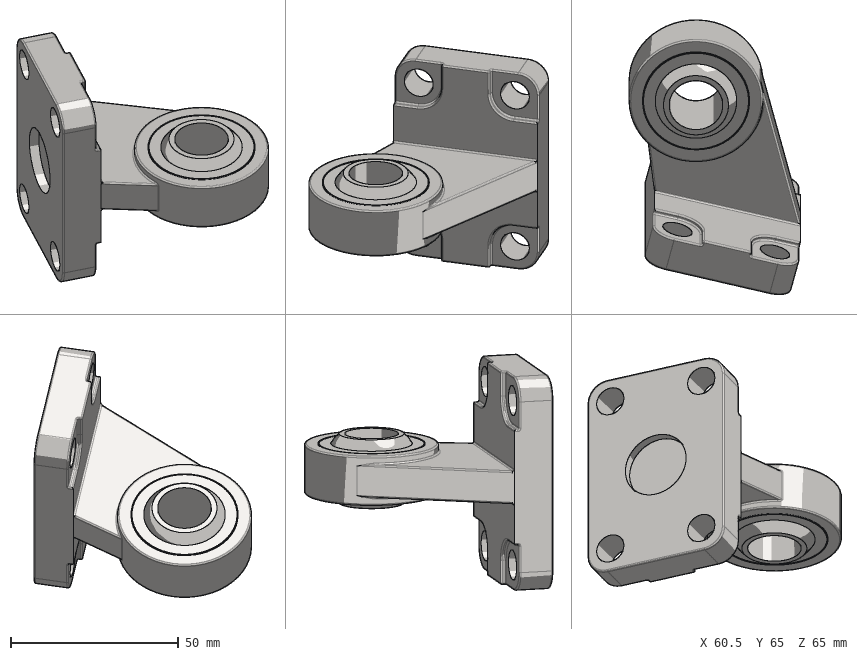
import cadquery as cq
import math

PLATE_WIDTH = 45.0
PLATE_HEIGHT = 65.0
PLATE_DEPTH = 12.0
PLATE_CORNER_RADIUS = 6.5
BOLT_HOLE_DIAMETER = 9.0
BOLT_INSET = 7.5
RECESS_DIAMETER = 20.0
RECESS_DEPTH = 3.0

POCKET_RADIUS = BOLT_INSET
POCKET_SPAN = BOLT_INSET + POCKET_RADIUS
POCKET_DEPTH = 1.5
POCKET_FLOOR_Y = PLATE_DEPTH - POCKET_DEPTH

RING_X = 40.5
RING_Y = 45.0
RING_RADIUS = 20.0
RING_WIDTH = 15.0
WEB_THICKNESS = 10.0

RACE_RADIUS = 16.0
RACE_CHAMFER = 0.3
BALL_RADIUS = 14.3
BALL_WIDTH = 21.0
BORE_RADIUS = 8.0

EDGE_RADIUS = 0.5

TOLERANCE = 0.005


def ring_axis_cylinder(radius, width):
    """Cylinder on the ring axis, centred on Z = 0."""
    return cq.Workplane("XY", origin=(RING_X, RING_Y, -width / 2)).circle(radius).extrude(width)


def ball_sphere():
    return cq.Workplane("XY").sphere(BALL_RADIUS).translate((RING_X, RING_Y, 0))


def tangent_point(x, y, radius, side):
    """Where a line from (x, y) touches a circle on the ring axis: side 1 passes it on -X, side -1 on +X."""
    dx = x - RING_X
    dy = y - RING_Y
    angle = math.atan2(dy, dx) - side * math.acos(radius / math.hypot(dx, dy))
    return (RING_X + radius * math.cos(angle), RING_Y + radius * math.sin(angle))


def corner_pocket(side_x, side_z):
    """Square cutter at one plate corner, rounded only on the corner that faces the plate's middle."""
    centre_x = PLATE_WIDTH / 2 + side_x * (PLATE_WIDTH - POCKET_SPAN) / 2
    centre_z = side_z * (PLATE_HEIGHT - POCKET_SPAN) / 2
    inner_face = "<X" if side_x > 0 else ">X"
    inner_edge = "<Z" if side_z > 0 else ">Z"
    return (
        cq.Workplane("XY")
        .box(POCKET_SPAN, POCKET_DEPTH, POCKET_SPAN)
        .faces(inner_face)
        .edges(inner_edge)
        .fillet(POCKET_RADIUS)
        .translate((centre_x, PLATE_DEPTH - POCKET_DEPTH / 2, centre_z))
    )


def is_rounded_plate_edge(edge):
    """Front rim and all pocket edges, but not the sharp back edges along the plate's long sides."""
    box = edge.BoundingBox()
    on_front = box.ymax < TOLERANCE
    at_pocket = box.ymax > POCKET_FLOOR_Y - TOLERANCE and box.ymin > TOLERANCE
    crosses_middle = box.zmin < 0 < box.zmax
    return on_front or (at_pocket and not crosses_middle)


def make_plate():
    plate = (
        cq.Workplane("XZ")
        .center(PLATE_WIDTH / 2, 0)
        .rect(PLATE_WIDTH, PLATE_HEIGHT)
        .extrude(-PLATE_DEPTH)
        .edges("|Y")
        .fillet(PLATE_CORNER_RADIUS)
    )
    for side_x in (-1, 1):
        for side_z in (-1, 1):
            plate = plate.cut(corner_pocket(side_x, side_z))
    rounded = [edge for edge in plate.edges().vals() if is_rounded_plate_edge(edge)]
    plate = plate.newObject(rounded).fillet(EDGE_RADIUS)
    holes = (
        cq.Workplane("XZ")
        .center(PLATE_WIDTH / 2, 0)
        .rect(PLATE_WIDTH - 2 * BOLT_INSET, PLATE_HEIGHT - 2 * BOLT_INSET, forConstruction=True)
        .vertices()
        .circle(BOLT_HOLE_DIAMETER / 2)
        .extrude(-PLATE_DEPTH)
    )
    recess = cq.Workplane("XZ").center(PLATE_WIDTH / 2, 0).circle(RECESS_DIAMETER / 2).extrude(-RECESS_DEPTH)
    return plate.cut(holes).cut(recess)


def web_blank(thickness):
    """Web with square edges: tangent to the ring on -X, aimed at a tangent of the bearing bore on +X."""
    left = tangent_point(0, PLATE_DEPTH, RING_RADIUS, 1)
    right = tangent_point(PLATE_WIDTH, PLATE_DEPTH, RACE_RADIUS, -1)
    outline = [(0, PLATE_DEPTH), (PLATE_WIDTH, PLATE_DEPTH), right, (RING_X, RING_Y), left]
    return cq.Workplane("XY").polyline(outline).close().extrude(thickness / 2, both=True)


def make_web():
    """Web with rounded side edges, left sharp where it stands on the plate."""
    return web_blank(WEB_THICKNESS).faces("|Z").edges("not <Y").fillet(EDGE_RADIUS)


def is_ring_joint(edge):
    """Edges where the web meets the ring, apart from the flush tangent line on the -X side."""
    box = edge.BoundingBox()
    within_web = max(box.zmax, -box.zmin) < WEB_THICKNESS / 2 + TOLERANCE
    on_ring = all(
        abs(math.hypot(end.x - RING_X, end.y - RING_Y) - RING_RADIUS) < TOLERANCE
        for end in (edge.startPoint(), edge.endPoint())
    )
    return within_web and on_ring and box.xmax > RING_X


def make_arm():
    """Ring and web in one piece, with a fillet in the joint between them."""
    ring = ring_axis_cylinder(RING_RADIUS, RING_WIDTH).faces("|Z").edges().fillet(EDGE_RADIUS)
    arm = make_web().union(ring)
    joint = [edge for edge in arm.edges().vals() if is_ring_joint(edge)]
    return arm.newObject(joint).fillet(EDGE_RADIUS)


def foot_fillets():
    """Concave fillets where both web faces stand on the plate, cut off at the web's sloping sides."""
    web_face_z = WEB_THICKNESS / 2
    arc_sag = EDGE_RADIUS * (1 - math.sqrt(0.5))
    upper = (
        cq.Workplane("YZ")
        .moveTo(PLATE_DEPTH, web_face_z - EDGE_RADIUS)
        .lineTo(PLATE_DEPTH, web_face_z + EDGE_RADIUS)
        .threePointArc(
            (PLATE_DEPTH + arc_sag, web_face_z + arc_sag),
            (PLATE_DEPTH + EDGE_RADIUS, web_face_z),
        )
        .lineTo(PLATE_DEPTH + EDGE_RADIUS, web_face_z - EDGE_RADIUS)
        .close()
        .extrude(PLATE_WIDTH)
        .intersect(web_blank(RING_WIDTH))
    )
    return upper.union(upper.mirror("XY"))


def make_housing():
    bearing_bore = ring_axis_cylinder(RACE_RADIUS, RING_WIDTH)
    return make_plate().union(make_arm()).union(foot_fillets()).cut(bearing_bore)


def make_race():
    race = ring_axis_cylinder(RACE_RADIUS, RING_WIDTH).faces("|Z").edges().chamfer(RACE_CHAMFER)
    return race.cut(ball_sphere())


def make_ball():
    ball = ball_sphere().intersect(ring_axis_cylinder(BALL_RADIUS, BALL_WIDTH))
    return ball.cut(ring_axis_cylinder(BORE_RADIUS, BALL_WIDTH))


housing = make_housing()
race = make_race()
ball = make_ball()

bodies = (housing, race, ball)
result = cq.Compound.makeCompound([body.solids().val() for body in bodies])